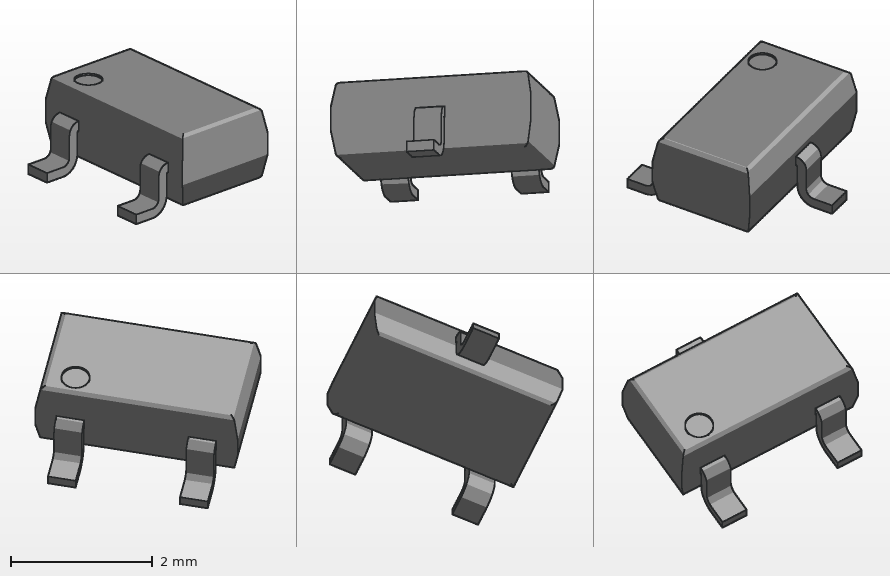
import cadquery as cq
import math

BODY_LENGTH = 2.92
BODY_WIDTH = 1.605
BODY_HEIGHT = 1.1
BELT_HEIGHT = 0.342
DRAFT_ANGLE = 10.0
EDGE_RADIUS = 0.08
SLOPE_HEIGHT = (BODY_HEIGHT - BELT_HEIGHT) / 2

LEAD_SPAN = 2.8
LEAD_WIDTH = 0.4
LEAD_THICKNESS = 0.15
LEAD_TOP = 0.777
LEAD_OFFSET = 0.952
FOOT_LENGTH = 0.3
FOOT_BEND_RADIUS = 0.123
SHOULDER_BEND_RADIUS = (
    LEAD_SPAN / 2 - FOOT_LENGTH - FOOT_BEND_RADIUS - LEAD_THICKNESS - BODY_WIDTH / 2
)

TOTAL_HEIGHT = 1.25
BODY_BOTTOM = TOTAL_HEIGHT - BODY_HEIGHT

MARK_DIAMETER = 0.4
MARK_DEPTH = 0.03
MARK_Y = -0.445


def make_housing():
    """Belt with drafted upper and lower halves, rounded rims and a pin-one recess."""
    belt_bottom = BODY_BOTTOM + SLOPE_HEIGHT
    belt = cq.Workplane("XY", origin=(0, 0, belt_bottom)).rect(BODY_LENGTH, BODY_WIDTH).extrude(BELT_HEIGHT)
    upper = belt.faces(">Z").wires().toPending().workplane().extrude(
        SLOPE_HEIGHT, taper=DRAFT_ANGLE, combine=False
    )
    lower = upper.mirror("XY", (0, 0, belt_bottom + BELT_HEIGHT / 2))
    housing = belt.union(upper).union(lower)
    housing = housing.faces("<Z or >Z").edges().fillet(EDGE_RADIUS)
    mark = (
        cq.Workplane("XY", origin=(-LEAD_OFFSET, MARK_Y, BODY_BOTTOM + BODY_HEIGHT - MARK_DEPTH))
        .circle(MARK_DIAMETER / 2)
        .extrude(MARK_DEPTH)
    )
    return housing.cut(mark)


def make_lead(x_center, side):
    """Gull-wing lead on the +Y (side = 1) or -Y (side = -1) wall of the housing."""
    wall = BODY_WIDTH / 2
    tip = LEAD_SPAN / 2
    inner_face = wall + SHOULDER_BEND_RADIUS
    outer_face = inner_face + LEAD_THICKNESS
    foot_start = tip - FOOT_LENGTH
    shoulder_z = LEAD_TOP - LEAD_THICKNESS - SHOULDER_BEND_RADIUS
    foot_bend_z = LEAD_THICKNESS + FOOT_BEND_RADIUS
    shoulder_outer = SHOULDER_BEND_RADIUS + LEAD_THICKNESS
    foot_outer = FOOT_BEND_RADIUS + LEAD_THICKNESS
    diagonal = math.sqrt(0.5)

    def shoulder_middle(radius):
        return (wall + radius * diagonal, shoulder_z + radius * diagonal)

    def foot_middle(radius):
        return (foot_start - radius * diagonal, foot_bend_z - radius * diagonal)

    lead = (
        cq.Workplane("YZ", origin=(x_center - LEAD_WIDTH / 2, 0, 0))
        .moveTo(wall, LEAD_TOP)
        .threePointArc(shoulder_middle(shoulder_outer), (outer_face, shoulder_z))
        .lineTo(outer_face, foot_bend_z)
        .threePointArc(foot_middle(FOOT_BEND_RADIUS), (foot_start, LEAD_THICKNESS))
        .lineTo(tip, LEAD_THICKNESS)
        .lineTo(tip, 0)
        .lineTo(foot_start, 0)
        .threePointArc(foot_middle(foot_outer), (inner_face, foot_bend_z))
        .lineTo(inner_face, shoulder_z)
        .threePointArc(
            shoulder_middle(SHOULDER_BEND_RADIUS), (wall, LEAD_TOP - LEAD_THICKNESS)
        )
        .close()
        .extrude(LEAD_WIDTH)
    )
    return lead if side > 0 else lead.mirror("XZ")


housing = make_housing()
lead_places = [(-LEAD_OFFSET, -1), (LEAD_OFFSET, -1), (0, 1)]
leads = [make_lead(x_center, side) for x_center, side in lead_places]

result = cq.Compound.makeCompound([housing.val(), *[lead.val() for lead in leads]])